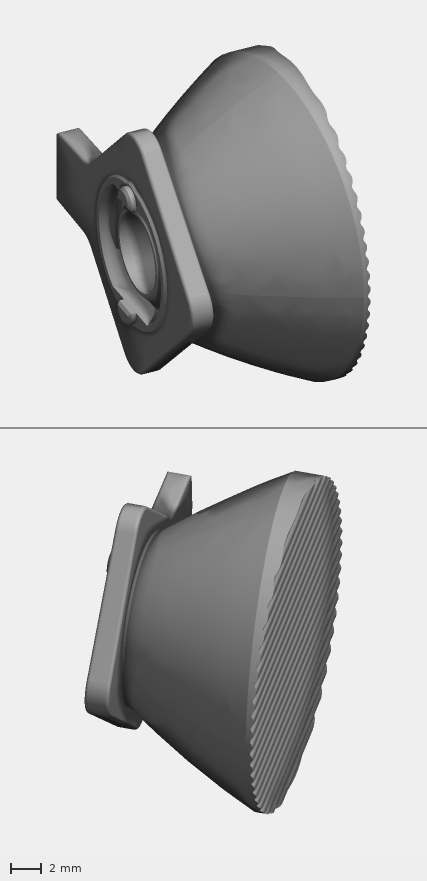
import cadquery as cq
import math


DIAMOND_REACH = 9.94
DIAMOND_CORNER_RADIUS = 2.0
TAB_END_X = -11.82
TAB_END_HALF_WIDTH = 2.71
TAB_ROOT_HALF_WIDTH = 2.85
TAB_CORNER_RADIUS = 0.41
TAB_FILLET = 1.85
TAB_SPARE = 1.15
PLATE_THICKNESS = 1.68
PLATE_BACK_SLOPE = 0.02
PLATE_EDGE_FILLET = 0.23

DISC_RADIUS = 5.38
DISC_HEIGHT = 0.18
DISC_CHAMFER = 0.15
PIN_CENTRE_Z = 4.25
PIN_RADIUS = 0.97
PIN_PAD_RADIUS = 1.26
PIN_TIP_Y = -0.71
PIN_CHAMFER = 0.18

POCKET_MOUTH_RADIUS = 4.8
POCKET_FLOOR_RADIUS = 4.1
POCKET_FLOOR_Y = 1.2
POCKET_HALF_HEIGHT = 4.0

GATE_INNER_X = -3.55
GATE_OUTER_X = -4.67
GATE_INNER_Y = 0.74
GATE_OUTER_Y = 0.32
GATE_CHAMFER = 0.14
GATE_HALF_HEIGHT = 1.98

NOSE_TIP_RADIUS = 3.01
NOSE_TIP_Y = 0.35
NOSE_BASE_RADIUS = 3.93
NOSE_HALF_HEIGHT = 3.82
BORE_MOUTH_RADIUS = 2.78
BORE_FLOOR_RADIUS = 2.28
BORE_FLOOR_Y = 4.45
LENS_HEIGHT = 1.15

NECK_RADIUS = 5.89
NECK_STEP = 0.18
BOWL_BASE_RADIUS = 5.73
BOWL_BASE_Y = 1.6
BOWL_BULGE = 0.28
RIM_RADIUS = 11.25
RIM_CENTRE_X = -0.07
RIM_EDGE_Y = 10.53
RIM_TILT = 5.1
BACK_Y = 12.0

RIDGES_ACROSS_RIM = 22.5
RIDGE_PITCH = 2 * RIM_RADIUS / RIDGES_ACROSS_RIM
RIDGE_DEPTH = 0.18
VALLEY_SHARE = 0.4

BIG = 27.6
ALONG_Y = cq.Vector(0, 1, 0)


def cylinder(radius, y_start, y_end, x=0.0, z=0.0):
    start = cq.Vector(x, y_start, z)
    return cq.Workplane(cq.Solid.makeCylinder(radius, y_end - y_start, start, ALONG_Y))


def cone(radius_start, radius_end, y_start, y_end, z=0.0):
    start = cq.Vector(0, y_start, z)
    return cq.Workplane(cq.Solid.makeCone(radius_start, radius_end, y_end - y_start, start, ALONG_Y))


def slab(half_height):
    """A wide block centred on the axis, limited only in Z."""
    return cq.Workplane().box(BIG, BIG, 2 * half_height)


def front_of_roof(ridge_y):
    """Everything in front of a shallow roof whose ridge runs along X."""
    eaves_y = ridge_y - PLATE_BACK_SLOPE * BIG
    outline = [(-BIG, -BIG), (-BIG, BIG), (eaves_y, BIG), (ridge_y, 0), (eaves_y, -BIG)]
    return cq.Workplane("YZ").polyline(outline).close().extrude(BIG, both=True)


def plate_blank(tab_extension):
    """Flat plate with a rounded outline; the tab's tapered sides may be carried on past its end."""
    root_x = TAB_ROOT_HALF_WIDTH - DIAMOND_REACH
    taper = (TAB_ROOT_HALF_WIDTH - TAB_END_HALF_WIDTH) / (root_x - TAB_END_X)
    end_x = TAB_END_X - tab_extension
    end_half_width = TAB_END_HALF_WIDTH - taper * tab_extension
    outline = [
        (end_x, end_half_width),
        (root_x, TAB_ROOT_HALF_WIDTH),
        (0, DIAMOND_REACH),
        (DIAMOND_REACH, 0),
        (0, -DIAMOND_REACH),
        (root_x, -TAB_ROOT_HALF_WIDTH),
        (end_x, -end_half_width),
    ]
    blank = cq.Workplane("XZ").polyline(outline).close().extrude(-PLATE_THICKNESS)
    diamond_corners = cq.selectors.BoxSelector((root_x / 2, -BIG, -BIG), (BIG, BIG, BIG))
    tab_roots = cq.selectors.BoxSelector((1.5 * root_x, -BIG, -BIG), (root_x / 2, BIG, BIG))
    blank = blank.edges("|Y").edges(diamond_corners).fillet(DIAMOND_CORNER_RADIUS)
    return blank.edges("|Y").edges(tab_roots).fillet(TAB_FILLET)


def plate():
    body = plate_blank(TAB_SPARE).intersect(front_of_roof(PLATE_THICKNESS))

    kept_sharp = body.edges("|Y").vals() + body.edges("|X").vals() + body.faces("<X").edges().vals()
    rounded = [
        edge for edge in body.edges().vals()
        if not any(edge.isSame(other) for other in kept_sharp)
    ]
    body = body.newObject(rounded).fillet(PLATE_EDGE_FILLET)

    trim = plate_blank(0).faces("<X").edges("|Y").fillet(TAB_CORNER_RADIUS)
    return body.intersect(trim)


def raised_disc():
    disc = cone(DISC_RADIUS - DISC_CHAMFER, DISC_RADIUS, -DISC_HEIGHT, 0)
    for side in (1, -1):
        pad_z = side * PIN_CENTRE_Z
        disc = disc.union(cone(PIN_PAD_RADIUS - DISC_CHAMFER, PIN_PAD_RADIUS, -DISC_HEIGHT, 0, pad_z))
    return disc


def pin(side):
    """Half-round pin flush with the pocket's flat; side is +1 above it and -1 below it."""
    centre_z = side * PIN_CENTRE_Z
    outer_part = cq.Workplane().box(BIG, BIG, BIG)
    outer_part = outer_part.translate((0, 0, side * (POCKET_HALF_HEIGHT + BIG / 2)))
    post = cylinder(PIN_RADIUS, PIN_TIP_Y, 0, z=centre_z).intersect(outer_part)
    return post.faces("<Y").chamfer(PIN_CHAMFER)


def pocket():
    mouth_to_floor = cone(POCKET_MOUTH_RADIUS, POCKET_FLOOR_RADIUS, -DISC_HEIGHT, POCKET_FLOOR_Y)
    return mouth_to_floor.intersect(slab(POCKET_HALF_HEIGHT))


def gate():
    """Sloped remnant between the pocket wall and the nose, on the tab's side."""
    outline = [
        (GATE_OUTER_X, GATE_OUTER_Y),
        (GATE_INNER_X - GATE_CHAMFER, GATE_INNER_Y),
        (GATE_INNER_X, GATE_INNER_Y + GATE_CHAMFER),
        (GATE_INNER_X, POCKET_FLOOR_Y),
        (GATE_OUTER_X, POCKET_FLOOR_Y),
    ]
    return cq.Workplane("XY").polyline(outline).close().extrude(GATE_HALF_HEIGHT, both=True)


def nose():
    body = cone(NOSE_TIP_RADIUS, NOSE_BASE_RADIUS, NOSE_TIP_Y, POCKET_FLOOR_Y)
    return body.intersect(slab(NOSE_HALF_HEIGHT))


def bore():
    """Tapered bore with a spherical lens standing on its floor."""
    taper = cone(BORE_MOUTH_RADIUS, BORE_FLOOR_RADIUS, NOSE_TIP_Y, BORE_FLOOR_Y)
    sphere_radius = (BORE_FLOOR_RADIUS**2 + LENS_HEIGHT**2) / (2 * LENS_HEIGHT)
    sphere_y = BORE_FLOOR_Y - LENS_HEIGHT + sphere_radius
    return taper.cut(cq.Workplane().sphere(sphere_radius).translate((0, sphere_y, 0)))


def flare_section(radius, y, x, tilt):
    """Section of the flare in a plane tilted about Z; it looks round along Y."""
    slope = math.radians(tilt)
    normal = cq.Vector(-math.sin(slope), math.cos(slope), 0)
    along = cq.Vector(math.cos(slope), math.sin(slope), 0)
    half_length = radius / math.cos(slope)
    centre = cq.Vector(x, y, 0)
    if tilt == 0:
        return cq.Wire.makeCircle(radius, centre, normal)
    return cq.Wire.makeEllipse(half_length, radius, centre, normal, along)


def bowl():
    middle_radius = (BOWL_BASE_RADIUS + RIM_RADIUS) / 2 + BOWL_BULGE
    middle_y = (BOWL_BASE_Y + RIM_EDGE_Y) / 2
    sections = [
        flare_section(BOWL_BASE_RADIUS, BOWL_BASE_Y, 0, 0),
        flare_section(middle_radius, middle_y, RIM_CENTRE_X / 2, RIM_TILT / 2),
        flare_section(RIM_RADIUS, RIM_EDGE_Y, RIM_CENTRE_X, RIM_TILT),
    ]
    flare = cq.Workplane(cq.Solid.makeLoft(sections))
    neck_end = front_of_roof(PLATE_THICKNESS + NECK_STEP)
    neck = cylinder(NECK_RADIUS, POCKET_FLOOR_Y, BACK_Y).intersect(neck_end)
    return flare.union(neck).union(rim())


def rim():
    drop = math.tan(math.radians(RIM_TILT)) * BIG
    band = [
        (RIM_CENTRE_X - BIG, RIM_EDGE_Y - drop),
        (RIM_CENTRE_X + BIG, RIM_EDGE_Y + drop),
        (RIM_CENTRE_X + BIG, BIG),
        (RIM_CENTRE_X - BIG, BIG),
    ]
    behind_edge = cq.Workplane("XY").polyline(band).close().extrude(BIG, both=True)
    return cylinder(RIM_RADIUS, 0, BACK_Y, x=RIM_CENTRE_X).intersect(behind_edge).cut(ridge_cutter())


def ridge_cutter():
    """Space behind the wavy back face: tangent convex and concave arcs, with a valley on the axis."""
    valley_half = VALLEY_SHARE * RIDGE_PITCH / 2
    valley_y = BACK_Y - RIDGE_DEPTH
    joint_y = valley_y + RIDGE_DEPTH * VALLEY_SHARE
    ridges_per_side = math.ceil(RIM_RADIUS / RIDGE_PITCH)
    first_z = -ridges_per_side * RIDGE_PITCH - valley_half
    last_z = ridges_per_side * RIDGE_PITCH + valley_half
    wave = cq.Workplane("YZ").moveTo(joint_y, first_z)
    for index in range(-ridges_per_side, ridges_per_side + 1):
        valley_z = index * RIDGE_PITCH
        wave = wave.threePointArc((valley_y, valley_z), (joint_y, valley_z + valley_half))
        if index < ridges_per_side:
            crest_z = valley_z + RIDGE_PITCH / 2
            next_valley_start = valley_z + RIDGE_PITCH - valley_half
            wave = wave.threePointArc((BACK_Y, crest_z), (joint_y, next_valley_start))
    wave = wave.lineTo(BIG, last_z).lineTo(BIG, first_z).close()
    return wave.extrude(BIG, both=True)


result = plate().union(raised_disc()).union(bowl())
result = result.cut(pocket()).union(gate()).union(nose()).cut(bore())
result = result.union(pin(1)).union(pin(-1))